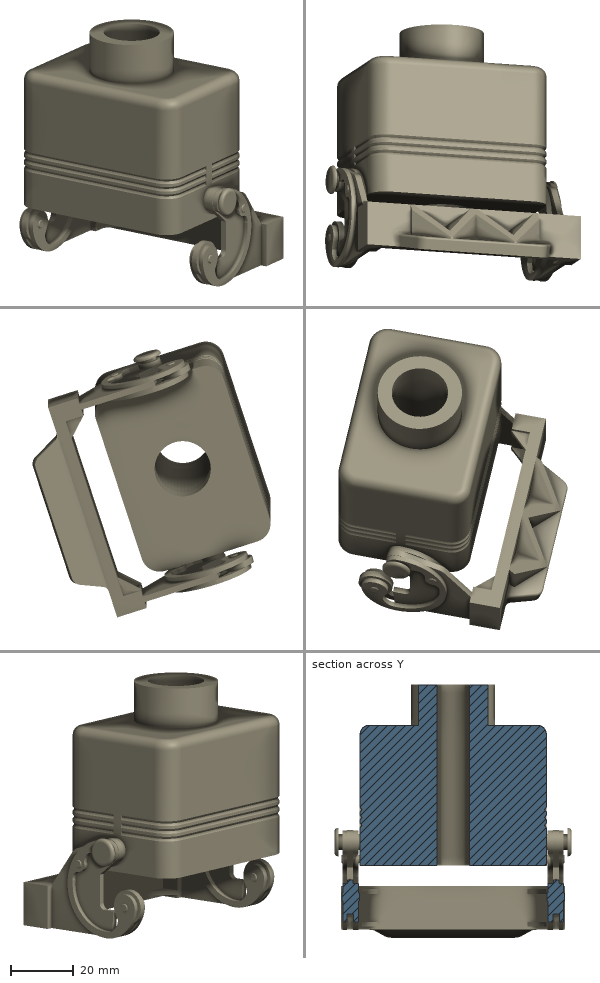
import cadquery as cq
import math

hood_length = 59.9
hood_width = 43.1
hood_height = 45.1
hood_corner_radius = 6.0
hood_top_fillet = 3.0

collar_diameter = 27.1
collar_height = 12.9
bore_diameter = 18.05

groove_height = 1.55
groove_depth = 0.6
groove_pitch = 2.5
groove_count = 3
lowest_groove_z = 12.9
groove_gap = 3.2

bar_length = 72.05
bar_back_y = 33.75
bar_wall = 4.0
bar_end_depth = 9.9
bar_end_width = 6.0
bar_top_z = -6.6
bar_bottom_z = -20.65
gusset_leg = 6.1
gusset_thickness = 1.5
gusset_inset = 1.05

grip_tilt = 15
grip_reach = 10.1
grip_thickness = 4.1
grip_base_half = 25.7
grip_tip_half = 21.0
grip_corner_radius = 3.25
grip_root_radius = 2.0
grip_rim_fillet = 0.7

rib_peak_x = 10.7
rib_half_width = 10.7
rib_shoulder = 1.8
rib_peak_reach = 10.3
rib_slope_reach = 10.1
rib_slope_drop = 12.1
rib_pocket_half = 9.6
rib_pocket_reach = 8.0
rib_pocket_depth = 7.15

plate_inner_x = 30.3
arm_inner_x = 32.0
arm_outer_x = 34.0
plate_outer_x = 35.5
pivot_y = 0
pivot_z = 7.5
arm_round_radius = 3.9

hook_radius = 16.0
hook_inner_radius = 13.9
hook_center_z = -4.8
hook_neck_z = 6.35

hook_boss_exit = (-3.7, -11.95)
hook_toe_notch = (-4.8, -14.2)
hook_toe_bulge = (-4.4, -16.1)
hook_toe_angle = -95
hook_heel_angle = 5
hook_heel_bend = (13.3, -1.4)
hook_neck_bend = (8.4, 5.2)
hook_neck_start_y = 6.75

arm_shoulder_start = (15.6, 4.8)
arm_shoulder_bend = (14.6, 5.9)
arm_shoulder_end = (13.5, 6.7)
arm_round_start = (1.4, 11.15)
arm_round_end = (-2.4, 4.5)
arm_mouth_top = (3.9, -0.7)
arm_mouth_bottom = (3.9, -10.1)
arm_mouth_bend = (3.3, -11.55)
arm_shelf_start = (1.9, -12.1)
arm_shelf_end = (-1.7, -12.1)
arm_toe = (-1.2, -18.5)

rivet_radius = 1.4
rivet_head = 0.3
rivet_chamfer = 0.25
rivet_boss_radius = 2.5
cheek_rivet = (11.55, 2.0)
roller_rivet = (-7.5, -10.0)
roller_radius = 5.5
roller_boss_radius = 4.3

axle_radius = 2.6
axle_embed = 0.8
knob_radius = 4.55
knob_inner_x = 36.75
knob_span = 76.0
knob_outer_x = knob_span / 2
knob_edge_radius = 1.05


def x_slab(profile, x_start, x_end):
    """Extrude a YZ profile, given as a drawing function, between two X positions."""
    return profile(cq.Workplane("YZ", origin=(x_start, 0, 0))).extrude(x_end - x_start)


def x_rod(center, radius, x_start, x_end):
    """Cylinder along X centred on a (Y, Z) point."""
    return x_slab(lambda plane: plane.center(*center).circle(radius), x_start, x_end)


def rounded_prism(inset, z, height, taper=0):
    """Hood outline shrunk by an inset and extruded from height z."""
    outline = cq.Sketch().rect(hood_length - 2 * inset, hood_width - 2 * inset)
    outline = outline.vertices().fillet(hood_corner_radius - inset)
    return cq.Workplane("XY", origin=(0, 0, z)).placeSketch(outline).extrude(height, taper=taper)


def make_groove(z):
    """V-shaped ring to cut at height z, open in the middle of the short sides."""
    half = groove_height / 2
    flare = -math.degrees(math.atan2(groove_depth, half))
    core = rounded_prism(groove_depth, z, half, flare).union(rounded_prism(groove_depth, z, -half, flare))
    ring = cq.Workplane("XY", origin=(0, 0, z)).box(2 * hood_length, 2 * hood_width, groove_height).cut(core)
    gap = cq.Workplane("XY", origin=(0, 0, z)).box(2 * hood_length, groove_gap, groove_height)
    return ring.cut(gap)


def make_hood():
    hood = rounded_prism(0, 0, hood_height).faces(">Z").edges().fillet(hood_top_fillet)
    collar = cq.Workplane("XY", origin=(0, 0, hood_height)).circle(collar_diameter / 2).extrude(collar_height)
    hood = hood.union(collar)
    for index in range(groove_count):
        hood = hood.cut(make_groove(lowest_groove_z + index * groove_pitch))
    bore = cq.Workplane("XY").circle(bore_diameter / 2).extrude(hood_height + collar_height)
    return hood.cut(bore)


def make_bar():
    """U-shaped crossbar with gussets in its two inner corners."""
    bar_height = bar_top_z - bar_bottom_z
    inner_half = bar_length / 2 - bar_end_width
    wall_front_y = bar_back_y - bar_wall
    front_y = bar_back_y - bar_end_depth
    bar = (
        cq.Workplane("XY", origin=(0, 0, bar_bottom_z))
        .rect(bar_length, bar_end_depth).extrude(bar_height)
        .translate((0, (bar_back_y + front_y) / 2, 0))
    )
    opening = (
        cq.Workplane("XY", origin=(0, 0, bar_bottom_z))
        .rect(2 * inner_half, bar_end_depth).extrude(bar_height)
        .translate((0, wall_front_y - bar_end_depth / 2, 0))
    )
    bar = bar.cut(opening)
    for z in (bar_bottom_z + gusset_inset, bar_top_z - gusset_inset - gusset_thickness):
        for side in (-1, 1):
            corner_x = side * inner_half
            gusset = (
                cq.Workplane("XY", origin=(0, 0, z))
                .moveTo(corner_x, wall_front_y)
                .lineTo(corner_x - side * gusset_leg, wall_front_y)
                .lineTo(corner_x, wall_front_y - gusset_leg)
                .close().extrude(gusset_thickness)
            )
            bar = bar.union(gusset)
    return bar


def make_grip():
    """Trapezoidal tongue sloping down and away from the foot of the crossbar."""
    root_y = -bar_wall / 2
    side_slope = (grip_base_half - grip_tip_half) / grip_reach
    root_half = grip_base_half - side_slope * root_y
    grip = (
        cq.Workplane("XY")
        .moveTo(-root_half, root_y).lineTo(-grip_tip_half, grip_reach)
        .lineTo(grip_tip_half, grip_reach).lineTo(root_half, root_y)
        .close().extrude(grip_thickness)
    )
    grip = grip.edges("|Z and >Y").fillet(grip_corner_radius)
    grip = grip.faces(">Z").edges("not <Y").fillet(grip_rim_fillet)
    grip = grip.rotate((0, 0, 0), (1, 0, 0), -grip_tilt).translate((0, bar_back_y, bar_bottom_z))
    bar_envelope = (
        cq.Workplane("XY", origin=(0, bar_back_y - bar_wall, bar_bottom_z))
        .box(bar_length, 2 * bar_wall, bar_top_z - bar_bottom_z, centered=(True, True, False))
    )
    return grip.cut(bar_envelope)


def make_handle():
    """Crossbar and grip, blended where the top and sides of the grip meet the bar."""
    handle = make_bar().union(make_grip())
    margin = 0.01
    root_zone = cq.selectors.BoxSelector(
        (margin - bar_length / 2, bar_back_y - margin, bar_bottom_z + margin),
        (bar_length / 2 - margin, bar_back_y + margin, bar_top_z - margin),
    )
    return handle.edges(root_zone).fillet(grip_root_radius)


def make_ribs():
    """Zigzag wedge under one sloping plane, with a V pocket behind each peak."""
    half_span = rib_peak_x + rib_half_width
    shoulder_y = bar_back_y + rib_shoulder
    peak_y = bar_back_y + rib_peak_reach
    zigzag = (
        cq.Workplane("XY", origin=(0, 0, bar_bottom_z))
        .moveTo(-half_span, bar_back_y).lineTo(-half_span, shoulder_y)
        .lineTo(-rib_peak_x, peak_y).lineTo(0, shoulder_y)
        .lineTo(rib_peak_x, peak_y).lineTo(half_span, shoulder_y)
        .lineTo(half_span, bar_back_y)
        .close().extrude(bar_top_z - bar_bottom_z)
    )
    slope_foot = (bar_back_y + rib_slope_reach, bar_top_z - rib_slope_drop)
    grip_drop = rib_slope_reach * math.tan(math.radians(grip_tilt))
    wedge = x_slab(
        lambda plane: plane.polyline([
            (bar_back_y, bar_top_z), slope_foot,
            (slope_foot[0], bar_bottom_z - grip_drop + grip_thickness / 2), (bar_back_y, bar_bottom_z),
        ]).close(),
        -half_span, half_span,
    )
    ribs = zigzag.intersect(wedge)
    for peak_x in (-rib_peak_x, rib_peak_x):
        ribs = ribs.cut(make_rib_pocket(peak_x))
    return ribs


def make_rib_pocket(peak_x):
    """Four-sided pyramid whose vertical base lies on the back of the crossbar."""
    apex = cq.Vector(
        peak_x, bar_back_y + rib_pocket_reach,
        bar_top_z - rib_slope_drop * rib_pocket_reach / rib_slope_reach,
    )
    base = [
        cq.Vector(peak_x - rib_pocket_half, bar_back_y, bar_top_z),
        cq.Vector(peak_x, bar_back_y, bar_top_z - rib_pocket_depth),
        cq.Vector(peak_x + rib_pocket_half, bar_back_y, bar_top_z),
        cq.Vector(peak_x, bar_back_y, bar_top_z + rib_pocket_depth),
    ]
    faces = [cq.Face.makeFromWires(cq.Wire.makePolygon(base, close=True))]
    for start, end in zip(base, base[1:] + base[:1]):
        faces.append(cq.Face.makeFromWires(cq.Wire.makePolygon([start, end, apex], close=True)))
    return cq.Workplane(cq.Solid.makeSolid(cq.Shell.makeShell(faces)))


def hook_profile(plane):
    """Crescent from the pivot, round the back, to the roller boss."""
    toe_z = hook_center_z - hook_radius
    rise = roller_rivet[1] - toe_z
    reach = roller_rivet[0]
    toe_radius = (reach ** 2 + rise ** 2 - roller_boss_radius ** 2) / (2 * (rise - roller_boss_radius))
    toe_center_z = toe_z + toe_radius
    boss_angle = math.atan2(roller_rivet[1] - toe_center_z, reach)
    mid_angle = (boss_angle - math.pi / 2) / 2

    def toe_point(angle):
        return (toe_radius * math.cos(angle), toe_center_z + toe_radius * math.sin(angle))

    def inner_point(degrees):
        angle = math.radians(degrees)
        return (hook_inner_radius * math.cos(angle), hook_center_z + hook_inner_radius * math.sin(angle))

    cheek_y, cheek_z = cheek_rivet
    boss_diagonal = rivet_boss_radius * math.sqrt(0.5)
    return (
        plane.moveTo(0, hook_center_z + hook_radius)
        .threePointArc((hook_radius, hook_center_z), (0, toe_z))
        .threePointArc(toe_point(mid_angle), toe_point(boss_angle))
        .lineTo(*hook_boss_exit).lineTo(*hook_toe_notch)
        .threePointArc(hook_toe_bulge, inner_point(hook_toe_angle))
        .threePointArc(inner_point((hook_toe_angle + hook_heel_angle) / 2), inner_point(hook_heel_angle))
        .threePointArc(hook_heel_bend, (cheek_y, cheek_z - rivet_boss_radius))
        .threePointArc(
            (cheek_y - boss_diagonal, cheek_z - boss_diagonal),
            (cheek_y - rivet_boss_radius, cheek_z),
        )
        .threePointArc(hook_neck_bend, (hook_neck_start_y, hook_neck_z))
        .lineTo(0, hook_neck_z).close()
    )


def arm_profile(plane):
    """Flat arm from the crossbar end up to the pivot."""
    front_y = bar_back_y - bar_end_depth
    return (
        plane.moveTo(front_y, bar_bottom_z).lineTo(front_y, bar_top_z)
        .lineTo(*arm_shoulder_start).threePointArc(arm_shoulder_bend, arm_shoulder_end)
        .lineTo(*arm_round_start)
        .threePointArc((pivot_y - arm_round_radius, pivot_z), arm_round_end)
        .lineTo(*arm_mouth_top).lineTo(*arm_mouth_bottom)
        .threePointArc(arm_mouth_bend, arm_shelf_start)
        .lineTo(*arm_shelf_end).lineTo(*arm_toe).lineTo(arm_toe[0], bar_bottom_z)
        .close()
    )


def make_hinge():
    """Complete hinge on the +X side."""
    pivot = (pivot_y, pivot_z)
    pivot_round_radius = hook_center_z + hook_radius - pivot_z
    hinge = x_slab(arm_profile, arm_inner_x, arm_outer_x)
    hinge = hinge.union(x_rod(roller_rivet, roller_radius, arm_inner_x, arm_outer_x))
    for x_start, x_end in ((plate_inner_x, arm_inner_x), (arm_outer_x, plate_outer_x)):
        hinge = hinge.union(x_slab(hook_profile, x_start, x_end))
        hinge = hinge.union(x_rod(roller_rivet, roller_boss_radius, x_start, x_end))
        hinge = hinge.union(x_rod(pivot, pivot_round_radius, x_start, x_end))
    for rivet in (cheek_rivet, roller_rivet):
        rod = x_rod(rivet, rivet_radius, plate_inner_x - rivet_head, plate_outer_x + rivet_head)
        hinge = hinge.union(rod.faces("<X or >X").chamfer(rivet_chamfer))
    hinge = hinge.union(x_rod(pivot, axle_radius, hood_length / 2 - axle_embed, knob_inner_x))
    knob = x_rod(pivot, knob_radius, knob_inner_x, knob_outer_x)
    return hinge.union(knob.faces(">X").edges().fillet(knob_edge_radius))


hinge = make_hinge()
result = (
    make_hood()
    .union(make_handle())
    .union(make_ribs())
    .union(hinge)
    .union(hinge.mirror("YZ"))
)